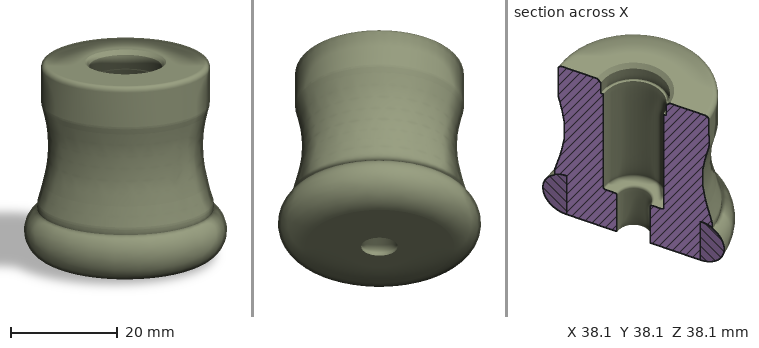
import cadquery as cq
import math

height = 38.1
foot_radius = 19.05

foot_round = 5.0
foot_height = 2 * foot_round
spigot_radius = foot_radius - foot_round

collar_radius = 16.57
collar_top = 10.55
head_radius = 15.85
head_bottom = 30.1
waist_slope = math.radians(15)
waist_round = 27.45
corner_round = 1.75
head_round = 1.0

mouth_radius = 6.82
mouth_depth = 3.5
mouth_chamfer = 0.8
bore_radius = 6.25
floor_height = 10.0
floor_round = 0.35
screw_radius = 3.43
screw_round = 0.5


def circle_at(z, radius):
    """Selector for the circular edge of a given radius at a given height."""
    margin = 0.05
    return cq.selectors.BoxSelector(
        (-radius - margin, -radius - margin, z - margin),
        (radius + margin, radius + margin, z + margin),
        boundingbox=True,
    ) - cq.selectors.BoxSelector(
        (-radius + margin, -radius + margin, z - margin),
        (radius - margin, radius - margin, z + margin),
        boundingbox=True,
    )


def make_foot_ring():
    """Ring that bulges out around the bottom of the knob."""
    return (
        cq.Workplane("XZ")
        .moveTo(spigot_radius, 0)
        .threePointArc((foot_radius, foot_round), (spigot_radius, foot_height))
        .close()
        .revolve(360, (0, 0, 0), (0, 1, 0))
    )


def make_knob_blank():
    """Solid waisted knob standing on a spigot, before the hole is cut."""
    taper = math.tan(waist_slope)
    waist_z = (collar_top + head_bottom + (collar_radius - head_radius) / taper) / 2
    waist_radius = collar_radius - taper * (waist_z - collar_top)

    blank = (
        cq.Workplane("XZ")
        .polyline([
            (0, 0),
            (spigot_radius, 0),
            (spigot_radius, foot_round),
            (collar_radius, foot_round),
            (collar_radius, collar_top),
            (waist_radius, waist_z),
            (head_radius, head_bottom),
            (head_radius, height),
            (0, height),
        ])
        .close()
        .revolve(360, (0, 0, 0), (0, 1, 0))
    )
    blank = blank.edges(circle_at(waist_z, waist_radius)).fillet(waist_round)
    blank = blank.edges(circle_at(collar_top, collar_radius)).fillet(corner_round)
    blank = blank.edges(circle_at(head_bottom, head_radius)).fillet(corner_round)
    return blank.edges(circle_at(height, head_radius)).fillet(head_round)


def cylinder_from(z, radius, length):
    """Vertical cylinder rising from height z."""
    return cq.Workplane("XY").workplane(offset=z).circle(radius).extrude(length)


def cut_screw_hole(body):
    """Chamfered mouth, deep bore with a rounded floor, and a through screw hole."""
    mouth = cylinder_from(height - mouth_depth, mouth_radius, mouth_depth)
    bore = cylinder_from(floor_height, bore_radius, height - floor_height)
    bore = bore.faces("<Z").edges().fillet(floor_round)
    screw = cylinder_from(0, screw_radius, height)
    body = body.cut(mouth).cut(bore).cut(screw)
    body = body.edges(circle_at(height, mouth_radius)).chamfer(mouth_chamfer)
    return body.edges(circle_at(floor_height, screw_radius)).fillet(screw_round)


foot_ring = make_foot_ring()
knob = cut_screw_hole(make_knob_blank().cut(foot_ring))

result = cq.Compound.makeCompound([knob.solids().val(), foot_ring.solids().val()])